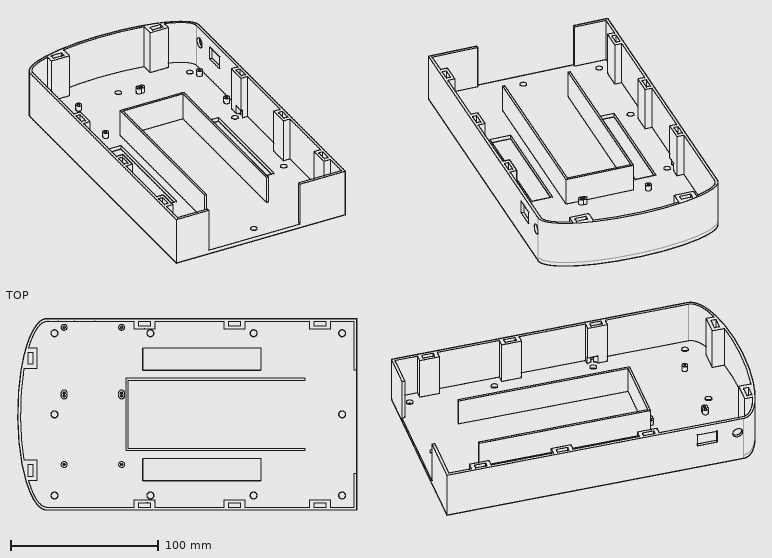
import cadquery as cq
BODY_LENGTH = 210.0
WIDTH = 130.0
HEIGHT = 35.0
NOSE_LENGTH = 20.0
WALL = 2.0
FLOOR = 3.0
WALL_HEIGHT = HEIGHT - FLOOR
INNER_HALF_WIDTH = WIDTH / 2 - WALL

REAR_OPENING_Y = (-40.0, 30.0)

SCREW_HOLE_DIAMETER = 4.5
SCREW_CLEARANCE_DIAMETER = 10.5
SCREW_CLEARANCE_HEIGHT = 6.0
SCREW_ROW_Y = 55.0
SCREW_ROW_X = (5.0, 70.0, 140.0, 200.0)
SCREW_POINTS = [(x, side * SCREW_ROW_Y) for x in SCREW_ROW_X for side in (-1, 1)]
SCREW_POINTS += [(SCREW_ROW_X[0], 0.0), (SCREW_ROW_X[-1], 0.0)]

FLOOR_WINDOW_LENGTH = 80.0
FLOOR_WINDOW_WIDTH = 15.0
FLOOR_WINDOW_CENTRE_X = 105.0
FLOOR_WINDOW_CENTRE_Y = 37.5

TRAY_FRONT_X = 53.5
TRAY_REAR_X = 175.0
TRAY_WIDTH = 49.0
TRAY_WALL = 1.5
TRAY_HEIGHT = 20.0

CLIP_WIDTH = 14.0
CLIP_POCKET_WIDTH = 8.0
CLIP_POCKET_DEPTH = WALL_HEIGHT
SIDE_CLIP_X = (66.0, 127.0, 185.0)
SIDE_CLIP_REACH = 5.0
SIDE_CLIP_POCKET = 3.0
NOSE_CLIP_Y = 38.0
NOSE_CLIP_INNER_X = -7.0
NOSE_CLIP_POCKET = 3.5
NOSE_CLIP_POCKET_INNER_X = -9.5

STANDOFF_DIAMETER = 4.0
STANDOFF_HEIGHT = 4.0
PILOT_DIAMETER = 1.3
STANDOFF_X = (11.5, 50.5)
STANDOFF_Y = (-34.0, 12.5, 14.5, 59.0)

CONNECTOR_Z = 23.5
JACK_HOLE_X = 4.0
JACK_HOLE_DIAMETER = 7.0
PORT_CENTRE_X = 25.5
PORT_LENGTH = 14.0
PORT_HEIGHT = 9.5


def box(x_range, y_range, z_range):
    """Axis-aligned box between two limits along each axis."""
    size = [high - low for low, high in (x_range, y_range, z_range)]
    corner = (x_range[0], y_range[0], z_range[0])
    return cq.Workplane("XY").box(*size, centered=False).translate(corner)


def cylinders(points, diameter, bottom, height):
    """Upright cylinders of one size at the given points."""
    return cq.Workplane("XY", origin=(0, 0, bottom)).pushPoints(points).circle(diameter / 2).extrude(height)


def nosed_plate(inset, bottom, height):
    """Plate with the outline of the shell, moved inwards by the inset."""
    half_width = WIDTH / 2 - inset
    nose = NOSE_LENGTH - inset
    body_end = BODY_LENGTH - inset
    body = box((0, body_end), (-half_width, half_width), (bottom, bottom + height))
    ellipse = cq.Workplane("XY", origin=(0, 0, bottom)).ellipse(nose, half_width).extrude(height)
    return ellipse.union(body)


def make_shell():
    walls = nosed_plate(0, FLOOR, WALL_HEIGHT).cut(nosed_plate(WALL, FLOOR, WALL_HEIGHT))
    walls = walls.cut(box((BODY_LENGTH - WALL, BODY_LENGTH), REAR_OPENING_Y, (FLOOR, HEIGHT)))
    return nosed_plate(0, 0, FLOOR).union(walls)


def make_tray():
    half = TRAY_WIDTH / 2
    inner = half - TRAY_WALL
    z_range = (FLOOR, FLOOR + TRAY_HEIGHT)
    outside = box((TRAY_FRONT_X, TRAY_REAR_X), (-half, half), z_range)
    return outside.cut(box((TRAY_FRONT_X + TRAY_WALL, TRAY_REAR_X), (-inner, inner), z_range))


def y_pair(x_range, y_range, z_range):
    """The same box on the +Y side and mirrored to the -Y side."""
    single = box(x_range, y_range, z_range)
    return single.union(single.mirror("XZ"))


def span(centre, length):
    """Lower and upper limit of a length about its centre."""
    return (centre - length / 2, centre + length / 2)


def add_clips(shell):
    post_z = (FLOOR, HEIGHT)
    pocket_z = (HEIGHT - CLIP_POCKET_DEPTH, HEIGHT)
    wall_y = INNER_HALF_WIDTH
    for x in SIDE_CLIP_X:
        shell = shell.union(y_pair(span(x, CLIP_WIDTH), (wall_y - SIDE_CLIP_REACH, wall_y), post_z))
        shell = shell.cut(y_pair(span(x, CLIP_POCKET_WIDTH), (wall_y - SIDE_CLIP_POCKET, wall_y), pocket_z))

    nose_posts = y_pair((-NOSE_LENGTH, NOSE_CLIP_INNER_X), span(NOSE_CLIP_Y, CLIP_WIDTH), post_z)
    shell = shell.union(nose_posts.intersect(nosed_plate(WALL / 2, 0, HEIGHT)))
    pocket_x = (NOSE_CLIP_POCKET_INNER_X - NOSE_CLIP_POCKET, NOSE_CLIP_POCKET_INNER_X)
    return shell.cut(y_pair(pocket_x, span(NOSE_CLIP_Y, CLIP_POCKET_WIDTH), pocket_z))


def cut_floor(shell):
    shell = shell.cut(cylinders(SCREW_POINTS, SCREW_HOLE_DIAMETER, 0, FLOOR))
    shell = shell.cut(cylinders(SCREW_POINTS, SCREW_CLEARANCE_DIAMETER, FLOOR, SCREW_CLEARANCE_HEIGHT))
    window_x = span(FLOOR_WINDOW_CENTRE_X, FLOOR_WINDOW_LENGTH)
    window_y = span(FLOOR_WINDOW_CENTRE_Y, FLOOR_WINDOW_WIDTH)
    return shell.cut(y_pair(window_x, window_y, (0, FLOOR)))


def add_standoffs(shell):
    points = [(x, y) for x in STANDOFF_X for y in STANDOFF_Y]
    for point in points:
        shell = shell.union(cylinders([point], STANDOFF_DIAMETER, FLOOR, STANDOFF_HEIGHT))
    for point in points:
        shell = shell.cut(cylinders([point], PILOT_DIAMETER, 0, FLOOR + STANDOFF_HEIGHT))
    return shell


def cut_connectors(shell):
    wall_y = (INNER_HALF_WIDTH, WIDTH / 2)
    port = box(span(PORT_CENTRE_X, PORT_LENGTH), wall_y, span(CONNECTOR_Z, PORT_HEIGHT))
    jack_plane = cq.Workplane("XZ", origin=(JACK_HOLE_X, WIDTH / 2, CONNECTOR_Z))
    jack = jack_plane.circle(JACK_HOLE_DIAMETER / 2).extrude(WALL)
    return shell.cut(port).cut(jack)


result = add_clips(make_shell())
result = cut_floor(result).union(make_tray())
result = cut_connectors(add_standoffs(result))